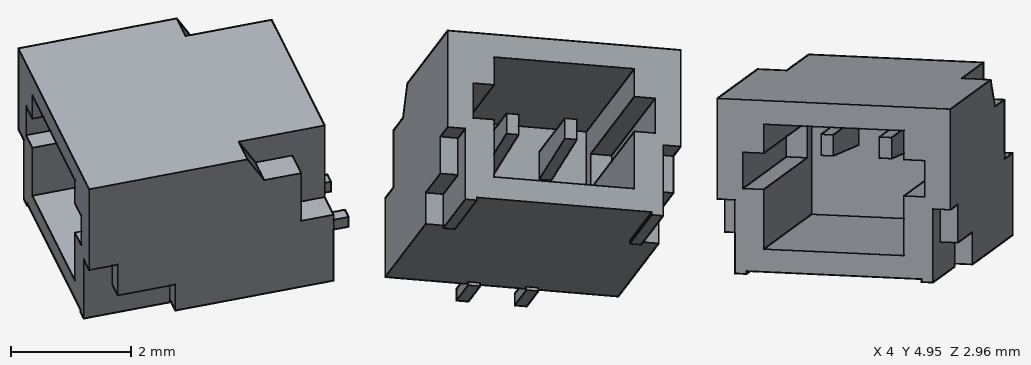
import cadquery as cq

BODY_WIDTH = 4.0
BODY_HEIGHT = 2.9
TOTAL_LENGTH = 4.95
TAIL_REACH = 0.695
BODY_LENGTH = TOTAL_LENGTH - TAIL_REACH

CAVITY_WIDTH = 2.405
CAVITY_BOTTOM = 0.385
CAVITY_TOP = 2.5
CAVITY_DEPTH = 3.265
KEY_SPAN = 3.12
KEY_BOTTOM = 1.395
KEY_TOP = 2.01
KEY_DEPTH = 2.97

REAR_RELIEF_WIDTH = 0.5
REAR_STEP_LENGTH = 0.565
REAR_STEP_DROP = 1.51
REAR_SHELF_LENGTH = 1.21
REAR_SHELF_DROP = 0.505
REAR_TOP_LENGTH = 1.5

NAIL_RECESS = 0.3
NAIL_THICKNESS = 0.2
NAIL_UPRIGHT_LENGTH = 0.5
NAIL_UPRIGHT_TOP = 1.2
NAIL_FOOT_LENGTH = 1.5
NAIL_FOOT_TOP = 0.55
NAIL_PROJECTION = 0.05

PIN_PITCH = 1.0
PIN_WIDTH = 0.21
PIN_TOP = 2.08
PIN_ROOT_BOTTOM = 1.595
PIN_TIP_BOTTOM = 1.725
PIN_LENGTH = 1.732
TAIL_PROJECTION = 0.06
TAIL_THICKNESS = 0.21
TAIL_OVERLAP = 0.11


def block(width, y_start, y_end, z_bottom, z_top, x_center=0):
    """Box centered on x_center between the given Y and Z limits."""
    return cq.Workplane("XY").box(
        width, y_end - y_start, z_top - z_bottom, centered=(True, False, False)
    ).translate((x_center, y_start, z_bottom))


def side_profile(points, x_start, thickness):
    """Prism of a (y, z) outline, extruded toward +X from x_start."""
    plane = cq.Workplane("YZ", origin=(x_start, 0, 0))
    return plane.polyline(points).close().extrude(thickness)


def both_sides(left_half):
    """The given solid together with its mirror image across x = 0."""
    return left_half.union(left_half.mirror("YZ"))


def nail_outline(z_bottom):
    return [
        (0, z_bottom),
        (NAIL_FOOT_LENGTH, z_bottom),
        (NAIL_FOOT_LENGTH, NAIL_FOOT_TOP),
        (NAIL_UPRIGHT_LENGTH, NAIL_FOOT_TOP),
        (NAIL_UPRIGHT_LENGTH, NAIL_UPRIGHT_TOP),
        (0, NAIL_UPRIGHT_TOP),
    ]


def rear_relief():
    step_z = BODY_HEIGHT - REAR_STEP_DROP
    shelf_z = BODY_HEIGHT - REAR_SHELF_DROP
    step_y = BODY_LENGTH - REAR_STEP_LENGTH
    outline = [
        (BODY_LENGTH, BODY_HEIGHT),
        (BODY_LENGTH, step_z),
        (step_y, step_z),
        (step_y, shelf_z),
        (BODY_LENGTH - REAR_SHELF_LENGTH, shelf_z),
        (BODY_LENGTH - REAR_TOP_LENGTH, BODY_HEIGHT),
    ]
    return both_sides(side_profile(outline, -BODY_WIDTH / 2, REAR_RELIEF_WIDTH))


def housing():
    body = block(BODY_WIDTH, 0, BODY_LENGTH, 0, BODY_HEIGHT)
    cavity = block(CAVITY_WIDTH, 0, CAVITY_DEPTH, CAVITY_BOTTOM, CAVITY_TOP)
    keys = block(KEY_SPAN, 0, KEY_DEPTH, KEY_BOTTOM, KEY_TOP)
    recesses = both_sides(side_profile(nail_outline(0), -BODY_WIDTH / 2, NAIL_RECESS))
    return body.cut(cavity).cut(keys).cut(rear_relief()).cut(recesses)


def nails():
    outer_face = -BODY_WIDTH / 2 + NAIL_RECESS
    return both_sides(side_profile(nail_outline(-NAIL_PROJECTION), outer_face, NAIL_THICKNESS))


def contact(x_center):
    """Mating pin with an underside that tapers up to the tip, plus its rear solder tail."""
    tip_y = CAVITY_DEPTH - PIN_LENGTH
    outline = [
        (CAVITY_DEPTH, PIN_TOP),
        (tip_y, PIN_TOP),
        (tip_y, PIN_TIP_BOTTOM),
        (CAVITY_DEPTH, PIN_ROOT_BOTTOM),
    ]
    pin = side_profile(outline, x_center - PIN_WIDTH / 2, PIN_WIDTH)
    tail = block(
        PIN_WIDTH,
        BODY_LENGTH - TAIL_OVERLAP,
        TOTAL_LENGTH,
        -TAIL_PROJECTION,
        TAIL_THICKNESS - TAIL_PROJECTION,
        x_center,
    )
    return pin.union(tail)


result = housing().union(nails())
for pin_x in (-PIN_PITCH / 2, PIN_PITCH / 2):
    result = result.union(contact(pin_x))